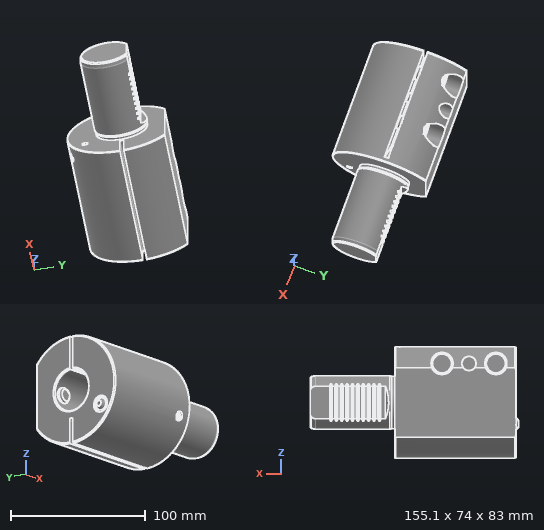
import cadquery as cq
import math


BODY_DIAMETER = 83.0
BODY_LENGTH = 90.1
BODY_RADIUS = BODY_DIAMETER / 2
FLAT_Y = 74.0 - BODY_RADIUS
FRONT_CHAMFER = 1.0
BACK_CHAMFER = 0.5

BORE_DIAMETER = 32.0
BORE_RADIUS = BORE_DIAMETER / 2
BORE_DEPTH = 70.9
BORE_CHAMFER = 1.0
CONE_DIAMETER = 21.0
DRILL_POINT_ANGLE = 118

SLOT_WIDTH = 3.0
TOP_SLOT_LENGTH = 86.5
SLOT_RUNOUT_RADIUS = 76.0
BOTTOM_SLOT_Z = -22.0

SCREW_Z = 29.0
SCREW_PITCH = 20.0
FIRST_SCREW_X = 15.0
SCREW_DIAMETER = 10.1
SCREW_HEAD_DIAMETER = 16.0
SCREW_HEAD_Y = 20.3
SCREW_HEAD_LENGTH = 10.1
SCREW_HEAD_CHAMFER = 1.0
COUNTERBORE_DIAMETER = 16.5
MIDDLE_SCREW_DIAMETER = 7.0
MIDDLE_HOLE_DIAMETER = 10.5

SET_SCREW_X = 9.8
SET_SCREW_DIAMETER = 12.0
SET_SCREW_TIP_DIAMETER = 9.0
SET_SCREW_TIP_Y = 12.5
SET_SCREW_CONE_LENGTH = 1.9

COOLANT_Y = -27.8
COOLANT_Z = -15.8
COOLANT_DIAMETER = 4.2
NOZZLE_RECESS_RIM_DIAMETER = 12.7
NOZZLE_RECESS_FLOOR_DIAMETER = 12.0
NOZZLE_RECESS_DEPTH = 0.6
NOZZLE_BALL_DIAMETER = 10.0
NOZZLE_PROJECTION = 2.0

PLUG_X = 78.9
PLUG_Z = -10.0
PLUG_DIAMETER = 6.7
PLUG_RECESS_DEPTH = 1.5
PLUG_SOCKET_DIAMETER = 4.2
PLUG_SOCKET_DEPTH = 1.2

SHANK_DIAMETER = 40.0
SHANK_LENGTH = 63.0
SHANK_RADIUS = SHANK_DIAMETER / 2
SHANK_END_X = BODY_LENGTH + SHANK_LENGTH
NECK_RADIUS = 19.5
NECK_LENGTH = 2.3
NECK_CONE_LENGTH = 1.4
END_TAPER_LENGTH = 2.8
END_TAPER_ANGLE = 15
END_CHAMFER = 1.0

TOOTH_FLAT_Y = 15.8
TOOTH_FLAT_START_X = 97.2
TOOTH_SHOULDER_ANGLE = 30
TOOTH_COUNT = 10
TOOTH_PITCH = 4.0
FIRST_TOOTH_GAP_X = 101.5
TOOTH_GAP_DEPTH = 1.4
TOOTH_GAP_TOP_WIDTH = 2.2
TOOTH_GAP_FLOOR_WIDTH = 0.5


def cylinder_x(diameter, start_x, length, y=0, z=0):
    """Cylinder along +X."""
    return cq.Workplane("YZ", origin=(start_x, y, z)).circle(diameter / 2).extrude(length)


def cylinder_y(diameter, x, z, start_y, end_y):
    """Cylinder along Y from start_y up to end_y."""
    plane = cq.Plane(origin=(x, start_y, z), xDir=(1, 0, 0), normal=(0, 1, 0))
    return cq.Workplane(plane).circle(diameter / 2).extrude(end_y - start_y)


def drill_point_depth(diameter):
    return diameter / 2 / math.tan(math.radians(DRILL_POINT_ANGLE / 2))


def revolve_about_x(points):
    """Solid of revolution from (x, radius) points."""
    return cq.Workplane("XY").polyline(points).close().revolve(360, (0, 0, 0), (1, 0, 0))


def make_body():
    body = cylinder_x(BODY_DIAMETER, 0, BODY_LENGTH)
    body = body.faces("<X").chamfer(FRONT_CHAMFER)
    body = body.faces(">X").chamfer(BACK_CHAMFER)
    beyond_flat = cq.Workplane("XY").box(
        BODY_LENGTH, BODY_DIAMETER, BODY_DIAMETER, centered=(False, False, True)
    )
    return body.cut(beyond_flat.translate((0, FLAT_Y, 0)))


def make_shank():
    neck_end_x = BODY_LENGTH + NECK_LENGTH
    taper_end_x = SHANK_END_X - END_CHAMFER
    taper_end_radius = SHANK_RADIUS - END_TAPER_LENGTH * math.tan(math.radians(END_TAPER_ANGLE))
    shank = revolve_about_x([
        (BODY_LENGTH, 0),
        (BODY_LENGTH, NECK_RADIUS),
        (neck_end_x, NECK_RADIUS),
        (neck_end_x + NECK_CONE_LENGTH, SHANK_RADIUS),
        (taper_end_x - END_TAPER_LENGTH, SHANK_RADIUS),
        (taper_end_x, taper_end_radius),
        (SHANK_END_X, taper_end_radius - END_CHAMFER),
        (SHANK_END_X, 0),
    ])
    return shank.cut(make_tooth_cutter())


def make_tooth_cutter():
    """Flat with a sloped shoulder, and the gaps between the teeth below it."""
    shoulder_run = (SHANK_RADIUS - TOOTH_FLAT_Y) * math.tan(math.radians(TOOTH_SHOULDER_ANGLE))
    half_width = SHANK_RADIUS
    cutter = (
        cq.Workplane("XY")
        .moveTo(TOOTH_FLAT_START_X - shoulder_run, SHANK_RADIUS)
        .lineTo(TOOTH_FLAT_START_X, TOOTH_FLAT_Y)
        .lineTo(SHANK_END_X, TOOTH_FLAT_Y)
        .lineTo(SHANK_END_X, SHANK_RADIUS)
        .close()
        .extrude(half_width, both=True)
    )
    for index in range(TOOTH_COUNT):
        center_x = FIRST_TOOTH_GAP_X + index * TOOTH_PITCH
        gap = (
            cq.Workplane("XY")
            .moveTo(center_x - TOOTH_GAP_TOP_WIDTH / 2, TOOTH_FLAT_Y)
            .lineTo(center_x - TOOTH_GAP_FLOOR_WIDTH / 2, TOOTH_FLAT_Y - TOOTH_GAP_DEPTH)
            .lineTo(center_x + TOOTH_GAP_FLOOR_WIDTH / 2, TOOTH_FLAT_Y - TOOTH_GAP_DEPTH)
            .lineTo(center_x + TOOTH_GAP_TOP_WIDTH / 2, TOOTH_FLAT_Y)
            .close()
            .extrude(half_width, both=True)
        )
        cutter = cutter.union(gap)
    return cutter


def make_bore():
    """Chamfered bore with a conical centre in its floor."""
    return revolve_about_x([
        (0, 0),
        (0, BORE_RADIUS + BORE_CHAMFER),
        (BORE_CHAMFER, BORE_RADIUS),
        (BORE_DEPTH, BORE_RADIUS),
        (BORE_DEPTH, CONE_DIAMETER / 2),
        (BORE_DEPTH + drill_point_depth(CONE_DIAMETER), 0),
    ])


def make_top_slot():
    """Slot from the top into the bore; its end rises along a saw-blade arc."""
    return (
        cq.Workplane("XZ")
        .moveTo(0, 0)
        .lineTo(BORE_DEPTH, 0)
        .lineTo(BORE_DEPTH, BORE_RADIUS)
        .radiusArc((TOP_SLOT_LENGTH, BODY_RADIUS), -SLOT_RUNOUT_RADIUS)
        .lineTo(0, BODY_RADIUS)
        .close()
        .extrude(SLOT_WIDTH / 2, both=True)
    )


def make_bottom_slot():
    """Slot from the bottom along the whole body, with a rounded root."""
    root_center_z = BOTTOM_SLOT_Z - SLOT_WIDTH / 2
    slot = cq.Workplane("XY").box(
        BODY_LENGTH, SLOT_WIDTH, BODY_RADIUS + root_center_z, centered=(False, True, False)
    )
    root = cylinder_x(SLOT_WIDTH, 0, BODY_LENGTH, z=root_center_z)
    return slot.translate((0, 0, -BODY_RADIUS)).union(root)


def add_clamp_screws(part):
    """Two headed screws and a thinner one between them, all crossing the top slot."""
    head_bottom_y = SCREW_HEAD_Y - SCREW_HEAD_LENGTH
    middle_x = FIRST_SCREW_X + SCREW_PITCH
    for x in (FIRST_SCREW_X, FIRST_SCREW_X + 2 * SCREW_PITCH):
        counterbore = cylinder_y(COUNTERBORE_DIAMETER, x, SCREW_Z, head_bottom_y, FLAT_Y)
        head = cylinder_y(SCREW_HEAD_DIAMETER, x, SCREW_Z, head_bottom_y, SCREW_HEAD_Y)
        head = head.faces(">Y").chamfer(SCREW_HEAD_CHAMFER)
        stem = cylinder_y(SCREW_DIAMETER, x, SCREW_Z, -SLOT_WIDTH, SLOT_WIDTH)
        part = part.cut(counterbore).union(head).union(stem)
    middle_hole = cylinder_y(MIDDLE_HOLE_DIAMETER, middle_x, SCREW_Z, head_bottom_y, FLAT_Y)
    middle_stem = cylinder_y(MIDDLE_SCREW_DIAMETER, middle_x, SCREW_Z, -SLOT_WIDTH, SLOT_WIDTH)
    return part.cut(middle_hole).union(middle_stem)


def make_set_screw():
    """Cone-tipped screw standing out of the +Y side of the bore."""
    cone_end_y = SET_SCREW_TIP_Y + SET_SCREW_CONE_LENGTH
    embedded_end_y = BORE_RADIUS + BORE_CHAMFER
    return (
        cq.Workplane("XY")
        .moveTo(SET_SCREW_X, SET_SCREW_TIP_Y)
        .lineTo(SET_SCREW_X + SET_SCREW_TIP_DIAMETER / 2, SET_SCREW_TIP_Y)
        .lineTo(SET_SCREW_X + SET_SCREW_DIAMETER / 2, cone_end_y)
        .lineTo(SET_SCREW_X + SET_SCREW_DIAMETER / 2, embedded_end_y)
        .lineTo(SET_SCREW_X, embedded_end_y)
        .close()
        .revolve(360, (SET_SCREW_X, 0, 0), (SET_SCREW_X, 1, 0))
    )


def add_coolant_nozzle(part):
    """Ball seated in a shallow conical recess, drilled through to the back of the body."""
    recess = revolve_about_x([
        (0, 0),
        (0, NOZZLE_RECESS_RIM_DIAMETER / 2),
        (NOZZLE_RECESS_DEPTH, NOZZLE_RECESS_FLOOR_DIAMETER / 2),
        (NOZZLE_RECESS_DEPTH, 0),
    ]).translate((0, COOLANT_Y, COOLANT_Z))
    ball_radius = NOZZLE_BALL_DIAMETER / 2
    rim_offset = math.sqrt(ball_radius**2 - (COOLANT_DIAMETER / 2) ** 2)
    ball_center = (rim_offset - NOZZLE_PROJECTION, COOLANT_Y, COOLANT_Z)
    ball = cq.Workplane("XY").sphere(ball_radius).translate(ball_center)
    channel_start_x = ball_center[0] - ball_radius
    channel = cylinder_x(
        COOLANT_DIAMETER, channel_start_x, BODY_LENGTH - channel_start_x, COOLANT_Y, COOLANT_Z
    )
    return part.cut(recess).union(ball).cut(channel)


def make_side_plug_recess():
    """Shallow recess in the -Y side with a cone-bottomed socket."""
    surface_y = -math.sqrt(BODY_RADIUS**2 - PLUG_Z**2)
    floor_y = surface_y + PLUG_RECESS_DEPTH
    socket_y = floor_y + PLUG_SOCKET_DEPTH
    recess = cylinder_y(PLUG_DIAMETER, PLUG_X, PLUG_Z, -BODY_RADIUS, floor_y)
    socket_radius = PLUG_SOCKET_DIAMETER / 2
    socket = (
        cq.Workplane("XY", origin=(0, 0, PLUG_Z))
        .moveTo(PLUG_X, floor_y)
        .lineTo(PLUG_X + socket_radius, floor_y)
        .lineTo(PLUG_X + socket_radius, socket_y)
        .lineTo(PLUG_X, socket_y + drill_point_depth(PLUG_SOCKET_DIAMETER))
        .close()
        .revolve(360, (PLUG_X, 0, 0), (PLUG_X, 1, 0))
    )
    return recess.union(socket)


holder = make_body().union(make_shank())
holder = holder.cut(make_bore()).cut(make_top_slot()).cut(make_bottom_slot())
holder = add_clamp_screws(holder)
holder = holder.union(make_set_screw())
holder = add_coolant_nozzle(holder)
result = holder.cut(make_side_plug_recess())